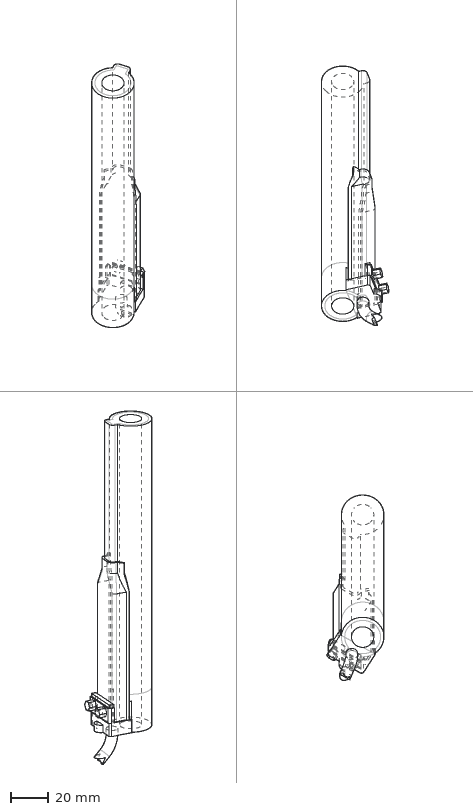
import cadquery as cq
import math

tube_length = 177.0
tube_radius = 11.5
liner_radius = 9.7
bore_radius = 6.0
shell_key_width = 9.6
shell_key_top = 14.5
shell_key_round = 2.4
liner_key_width = 7.0
liner_key_top = 12.8
end_cap_height = 22.0

cover_thickness = 1.25
cover_top = shell_key_top + cover_thickness
cover_bottom_z = 7.7
cover_shoulder_z = 81.5
cover_slope_end_z = 91.7
cover_end_z = 98.0
cover_width = 20.0
cover_round = 1.8
strip_end_angle = 44.0
cover_end_angle = 31.5

block_width = 22.0
block_bottom = 5.05
block_top = 18.6
saddle_radius = tube_radius + 0.1
saddle_height = 18.0
plate_seam = 17.4
plate_top = 19.2
plate_height = 16.3
bevel_inset = 0.7
lip_top = 18.4
screw_spacing = 11.8
screw_z = 13.0
screw_corner_width = 5.6
screw_top = 23.5
boss_radius = 3.5
boss_top = 21.8
boss_height = 4.3

cable_radius = 3.2
cable_y = 11.4
cable_bend_start_z = -3.0
cable_bend_radius = 15.0
cable_bend_angle = 45.0
cable_tip_z = -19.78
cable_prong_reach = 5.1
cable_deep_notch = 1.9
cable_prong_across = -0.95
cable_shallow_notch = 4.1
cable_shallow_notch_across = -2.1


def box_between(width, y_low, y_high, z_low, z_high):
    """Box centred on X between the given Y and Z limits."""
    return cq.Workplane("XY").box(
        width, y_high - y_low, z_high - z_low, centered=(True, False, False)
    ).translate((0, y_low, z_low))


def cylinder(radius, z_low, z_high):
    return cq.Workplane("XY").workplane(offset=z_low).circle(radius).extrude(z_high - z_low)


def sector_outline(plane, end_angle):
    """Triangle above two radial lines that rise from the tube axis at end_angle."""
    reach = 2 * tube_radius
    side = reach / math.tan(math.radians(end_angle))
    return plane.polyline([(0, 0), (side, reach), (-side, reach)]).close()


def sector(end_angle, z_low, z_high):
    return sector_outline(cq.Workplane("XY").workplane(offset=z_low), end_angle).extrude(z_high - z_low)


def bevelled_slab(y_low, y_high, z_low, z_high):
    """Slab across the end block whose sides lean inward toward +Y."""
    half = block_width / 2
    outline = [(-half, y_low), (half, y_low), (half - bevel_inset, y_high), (bevel_inset - half, y_high)]
    return cq.Workplane("XY").workplane(offset=z_low).polyline(outline).close().extrude(z_high - z_low)


def keyed_bar(radius, key_width, key_top, key_round, z_low, z_high):
    """Round bar with a key along its +Y side."""
    key = box_between(key_width, 0, key_top, z_low, z_high)
    if key_round > 0:
        key = key.edges("|Z and >Y").fillet(key_round)
    return cylinder(radius, z_low, z_high).union(key)


def shell_bar(offset, z_low, z_high):
    """Shell outline, grown outward by offset."""
    return keyed_bar(
        tube_radius + offset,
        shell_key_width + 2 * offset,
        shell_key_top + offset,
        shell_key_round + offset,
        z_low,
        z_high,
    )


def make_tube():
    liner = keyed_bar(liner_radius, liner_key_width, liner_key_top, 0, 0, tube_length)
    cap = shell_bar(0, 0, end_cap_height)
    shell = shell_bar(0, end_cap_height, tube_length)
    return cap.cut(liner).union(shell.cut(liner), clean=False).union(liner, clean=False)


def arch_outline(plane, width, corner_round):
    """Rectangle from the tube axis to the cover top, rounded at its two upper corners."""
    half = width / 2
    return (
        plane.moveTo(-half, 0)
        .lineTo(half, 0)
        .lineTo(half, cover_top - corner_round)
        .radiusArc((half - corner_round, cover_top), -corner_round)
        .lineTo(corner_round - half, cover_top)
        .radiusArc((-half, cover_top - corner_round), -corner_round)
        .close()
    )


def make_cover():
    strip = shell_bar(cover_thickness, cover_bottom_z, cover_end_z)
    base = cq.Workplane("XY").workplane(offset=cover_bottom_z)
    housing = arch_outline(base, cover_width, cover_round).extrude(cover_shoulder_z - cover_bottom_z)
    slope_start = cq.Workplane("XY").workplane(offset=cover_shoulder_z)
    slope_height = cover_slope_end_z - cover_shoulder_z
    slope = arch_outline(slope_start, cover_width, cover_round).workplane(offset=slope_height)
    strip_key_width = shell_key_width + 2 * cover_thickness
    slope = arch_outline(slope, strip_key_width, shell_key_round + cover_thickness).loft(ruled=True)
    housing = housing.union(slope)
    wide_wrap = sector(cover_end_angle, cover_bottom_z, cover_shoulder_z)
    slope_wrap = sector_outline(slope_start, cover_end_angle).workplane(offset=slope_height)
    slope_wrap = sector_outline(slope_wrap, strip_end_angle).loft(ruled=True)
    narrow_wrap = sector(strip_end_angle, cover_slope_end_z, cover_end_z)
    wrap = wide_wrap.union(slope_wrap).union(narrow_wrap)
    return strip.union(housing).intersect(wrap)


def make_end_block():
    block = box_between(block_width, block_bottom, plate_seam, 0, cover_bottom_z)
    block = block.union(bevelled_slab(plate_seam, block_top, 0, cover_bottom_z))
    saddle = cylinder(saddle_radius, 0, saddle_height)
    saddle = saddle.intersect(box_between(block_width, block_bottom, saddle_radius, 0, saddle_height))
    boss = cylinder(boss_radius, 0, boss_height).translate((0, boss_top - boss_radius, 0))
    return block.union(saddle).union(boss)


def make_clamp():
    backing = box_between(block_width, cover_top, plate_seam, cover_bottom_z, plate_height)
    plate = bevelled_slab(plate_seam, plate_top, cover_bottom_z, plate_height)
    lip_width = block_width - 2 * bevel_inset
    lip = box_between(lip_width, cover_top, lip_top, plate_height, saddle_height)
    clamp = backing.union(plate).union(lip)
    for side in (-1, 1):
        screw = cq.Workplane("XZ").polygon(6, screw_corner_width).extrude(-(screw_top - plate_seam))
        clamp = clamp.union(screw.translate((side * screw_spacing / 2, plate_seam, screw_z)))
    return clamp


def make_cable():
    angle = math.radians(cable_bend_angle)
    sine, cosine = math.sin(angle), math.cos(angle)
    bend_centre_y = cable_y + cable_bend_radius

    def on_bend(turn):
        y = bend_centre_y - cable_bend_radius * math.cos(turn)
        z = cable_bend_start_z - cable_bend_radius * math.sin(turn)
        return (y, z)

    end_y, end_z = on_bend(angle)

    def past_bend(along, across):
        """Point beyond the bend; across is positive on the inner side of the bend."""
        return (end_y + along * sine + across * cosine, end_z - along * cosine + across * sine)

    tip_reach = (end_z - cable_tip_z - cable_radius * sine) / cosine
    path = (
        cq.Workplane("YZ")
        .moveTo(cable_y, cover_bottom_z)
        .lineTo(cable_y, cable_bend_start_z)
        .threePointArc(on_bend(angle / 2), (end_y, end_z))
        .lineTo(*past_bend(2 * tip_reach, 0))
    )
    cable = (
        cq.Workplane("XY")
        .workplane(offset=cover_bottom_z)
        .center(0, cable_y)
        .circle(cable_radius)
        .sweep(path)
    )
    clear = 2 * cable_radius
    break_line = [
        past_bend(3 * tip_reach, clear),
        past_bend(tip_reach, clear),
        past_bend(tip_reach, cable_radius),
        past_bend(cable_deep_notch, 0),
        past_bend(cable_prong_reach, cable_prong_across),
        past_bend(cable_shallow_notch, cable_shallow_notch_across),
        past_bend(tip_reach, -cable_radius),
        past_bend(tip_reach, -clear),
        past_bend(3 * tip_reach, -clear),
    ]
    broken_off = cq.Workplane("YZ").polyline(break_line).close().extrude(clear, both=True)
    return cable.cut(broken_off)


result = make_tube()
for piece in (make_cover(), make_end_block(), make_clamp(), make_cable()):
    result = result.union(piece, clean=False)
result = result.cut(cylinder(bore_radius, 0, tube_length), clean=False)